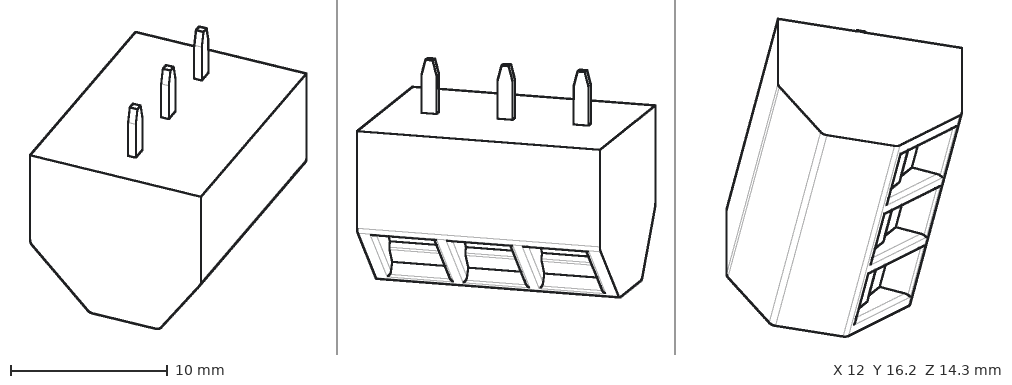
import cadquery as cq
import math


length = 16.24
width = 12.0
total_height = 14.3
pin_height = 3.5
body_height = total_height - pin_height
slope_height = 4.19
left_slope_angle = 45.0
right_slope_angle = 35.0
corner_radius = 0.5

pole_count = 3
pole_pitch = 5.08

pin_thickness = 0.54
pin_width = 1.0
pin_tip_width = 0.49
pin_tip_height = 0.99

entry_width = 3.96
entry_draft = 10.0
entry_bottom = 0.39
entry_top = 3.93
entry_rim_radius = 0.3
lower_back_bottom = 1.35
step_bottom = 2.4
step_top = 2.9
back_wall_angle = 35.0
step_angle = 7.0
step_radius = 0.39
cut_clearance = 0.81
wedge_depth = 4.06

left = -width / 2
right = width / 2
pole_positions = [(i - (pole_count - 1) / 2) * pole_pitch for i in range(pole_count)]


def run(rise, angle):
    """Horizontal travel of a line that climbs by rise at an angle from vertical."""
    return rise * math.tan(math.radians(angle))


def slope_x(z):
    """X of the left slope at height z."""
    return left + run(slope_height - z, left_slope_angle)


def make_body():
    outline = [
        (left, body_height),
        (left, slope_height),
        (slope_x(0), 0),
        (right - run(slope_height, right_slope_angle), 0),
        (right, slope_height),
        (right, body_height),
    ]
    body = cq.Workplane("XZ").polyline(outline).close().extrude(length / 2, both=True)
    lower_edges = cq.selectors.BoxSelector(
        (-width, -length, -slope_height), (width, length, body_height / 2)
    )
    return body.edges("|Y").edges(lower_edges).fillet(corner_radius)


def make_pin(y):
    outline = [
        (-pin_width / 2, 0),
        (pin_width / 2, 0),
        (pin_width / 2, pin_height - pin_tip_height),
        (pin_tip_width / 2, pin_height),
        (-pin_tip_width / 2, pin_height),
        (-pin_width / 2, pin_height - pin_tip_height),
    ]
    pin = cq.Workplane("YZ").polyline(outline).close().extrude(pin_thickness / 2, both=True)
    return pin.translate((0, y, body_height))


def make_entry(y):
    """Cutter for one wire entry: a stepped section between side walls that close in with depth."""
    front_x = slope_x(entry_bottom)
    step_bottom_x = front_x - run(step_bottom - lower_back_bottom, back_wall_angle)
    step_top_x = step_bottom_x - run(step_top - step_bottom, step_angle)
    back_top_x = step_top_x - run(entry_top - step_top, back_wall_angle)
    section = [
        (front_x, entry_bottom - cut_clearance),
        (front_x, lower_back_bottom),
        (step_bottom_x, step_bottom),
        (step_top_x, step_top),
        (back_top_x, entry_top),
        (slope_x(entry_top) - cut_clearance, entry_top),
    ]
    stepped = cq.Workplane("XZ").polyline(section).close().extrude(entry_width, both=True)
    step_edge = cq.selectors.NearestToPointSelector((step_bottom_x, 0, step_bottom))
    stepped = stepped.edges("|Y").edges(step_edge).fillet(step_radius)

    mid_z = slope_height / 2
    across_slope = cq.Plane(origin=(slope_x(mid_z), 0, mid_z), xDir=(0, 1, 0), normal=(1, 0, -1))
    outer_half = entry_width / 2 + run(cut_clearance, entry_draft)
    inner_half = entry_width / 2 - run(wedge_depth, entry_draft)
    wedge_outline = [
        (-outer_half, -cut_clearance),
        (outer_half, -cut_clearance),
        (inner_half, wedge_depth),
        (-inner_half, wedge_depth),
    ]
    wedge = cq.Workplane(across_slope).polyline(wedge_outline).close().extrude(width, both=True)
    return stepped.intersect(wedge).translate((0, y, 0))


result = make_body()
for pole_y in pole_positions:
    result = result.cut(make_entry(pole_y))

slope_face = result.faces(cq.selectors.DirectionMinMaxSelector(cq.Vector(-1, 0, -1))).val()
rim_edges = [edge for rim in slope_face.innerWires() for edge in rim.Edges()]
result = result.newObject(rim_edges).fillet(entry_rim_radius)

for pole_y in pole_positions:
    result = result.union(make_pin(pole_y))